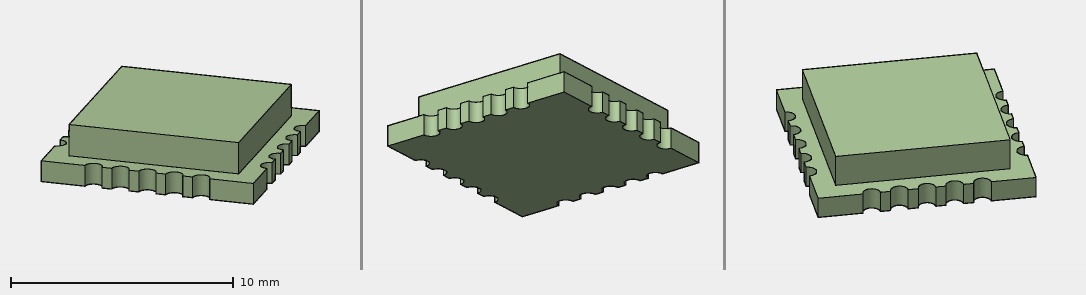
import cadquery as cq

board_side = 10.0
board_thickness = 1.0
total_height = 2.5
cover_side = 8.0

notch_count = 5
notch_pitch = 1.27
notch_radius = 0.4

half_side = board_side / 2
cover_height = total_height - board_thickness


def edge_notch_centers():
    """Castellation centers on all four board edges, centered on each edge."""
    centers = []
    for index in range(notch_count):
        offset = (index - (notch_count - 1) / 2) * notch_pitch
        for edge in (-half_side, half_side):
            centers.append((offset, edge))
            centers.append((edge, offset))
    return centers


def make_board():
    """Square board with its castellations cut through the full thickness."""
    board = cq.Workplane("XY").rect(board_side, board_side).extrude(board_thickness)
    notches = (
        cq.Workplane("XY")
        .pushPoints(edge_notch_centers())
        .circle(notch_radius)
        .extrude(board_thickness)
    )
    return board.cut(notches)


def make_cover():
    """Square cover block standing on the board."""
    return (
        cq.Workplane("XY")
        .workplane(offset=board_thickness)
        .rect(cover_side, cover_side)
        .extrude(cover_height)
    )


result = make_board().union(make_cover())